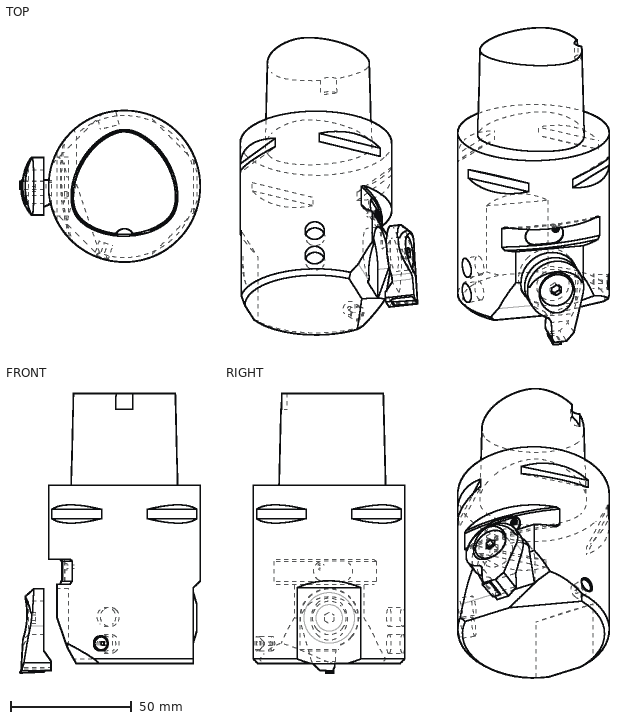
import cadquery as cq
import math


BODY_DIAMETER = 63
BODY_RADIUS = BODY_DIAMETER / 2
BODY_LENGTH = 74.1
BOTTOM_CHAMFER = 2
SHANK_LENGTH = 38
SHANK_BASE_DIAMETER = 44.3
SHANK_TAPER = 1 / 20
SHANK_ECCENTRICITY = 2.8
SHANK_CURVE_POINTS = 48
CLEARANCE = 60

NOTCH_DIAMETER = 8
NOTCH_DEPTH = 6.5
NOTCH_CENTER_Y = -21.6

GRIPPER_Z = -12
GRIPPER_FLOOR_HEIGHT = 3.75
GRIPPER_FLOOR_DISTANCE = 27.9
GRIPPER_MOUTH_HEIGHT = 7.6
GRIPPER_COUNT = 4
GRIPPER_START_AZIMUTH = 45

GROOVE_TOP_Z = -30.8
GROOVE_BOTTOM_Z = -41.1
GROOVE_CENTER_Y = 4
GROOVE_FLOOR_X = -26.15
GROOVE_FLOOR_RADIUS = 82
GROOVE_LIP_DEPTH = 0.6
GROOVE_TOP_LIP = 0.7
GROOVE_BOTTOM_LIP = 1.3
OVAL_WIDTH = 8.5
OVAL_LENGTH = 16.2
OVAL_Y = 1.6
OVAL_Z = -35.6
OVAL_FLOOR_X = -25
JET_Y = -3.4
JET_Z = -33.8
JET_MOUTH_DIAMETER = 2.8
JET_DIAMETER = 1.5
JET_MOUTH_DEPTH = 1
JET_DEPTH = 4

HEAD_Z = -55
FACET_X = -28
FACET_TILT = 19
LOWER_FACET_Z = -67.4
LOWER_FACET_TILT = 29
CORNER_APEX = (-24.7, -19.5, -65.3)
CORNER_BOTTOM_START = (-10.4, -27.6, -BODY_LENGTH)
CORNER_BOTTOM_END = (-20.1, 1.5, -BODY_LENGTH)
SEAT_FLOOR_X = -23.3
SEAT_RADIUS = 12.2
SEAT_RELIEF_Y = 3.9

REAR_FLAT_X = 28.6
REAR_FLAT_TOP_Z = -42.6
REAR_BOSS_HEIGHT = 1.5
REAR_BOSS_RADIUS = 10.5
REAR_BOSS_FACE_RADIUS = 5.5

SIDE_HOLE_DIAMETER = 8
SIDE_HOLE_DEPTH = 6
SIDE_HOLE_AZIMUTH = 104
SIDE_HOLE_HEIGHTS = (-54.6, -65.8)

NOZZLE_DIAMETER = 6
NOZZLE_MOUTH_DIAMETER = 6.25
NOZZLE_CUP_DIAMETER = 5.4
NOZZLE_BORE_DIAMETER = 1.5
NOZZLE_AZIMUTH = 251.7
NOZZLE_Z = -65.7
NOZZLE_RECESS = 0.7
NOZZLE_LENGTH = 6
NOZZLE_CUP_DEPTH = 2.2

HEAD_RADIUS = 12
HEAD_BACK_X = -33.45
HEAD_RIM_X = -37.55
HEAD_CHAMFER_END_Z = -53
HEAD_FRONT_LIMIT_X = -47
HEAD_CROWN_X = -41.65
HEAD_CROWN_RADIUS = 24.5
HEAD_CROWN_TILT = 3.3
TIP_CORNER_Y = -3.7
FLANK_END_Y = -7.1
FLANK_END_Z = -73.8
NECK_START_Y = 4.9
NECK_MIDDLE = (3.4, -66.9)
NECK_END = (2.75, -68.3)
TIP_SIDE_POINT = (2.4, -75.5)
TIP_START_Y = 1.6
SHANK_TIP_Z = -77
SCREW_FLARE_DEPTH = 4
HOOK_X = -30.4
HOOK_START_Z = -68.7
HOOK_END_Z = -73
EDGE_Y = 2.05
EDGE_BACK_Y = -1.3
EDGE_FRONT_X = -43.45
EDGE_BACK_X = -33.5
EDGE_Z = -78
EDGE_NOSE = 0.3
EDGE_CLEARANCE = 0.4
EDGE_BACK_STEP = 0.8
EDGE_OVERLAP = 1

SCREW_DIAMETER = 13.9
SCREW_FACE_X = -39.9
HEX_FLATS = 4
HEX_DEPTH = 3


def side_plane(x, z, y=0):
    """Plane square to X: its normal is -X, its local x is -Y and its local y is +Z."""
    return cq.Plane(origin=(x, y, z), xDir=(0, -1, 0), normal=(-1, 0, 0))


def radial_plane(azimuth, distance, z):
    """Plane whose outward normal is radial to the tool axis."""
    angle = math.radians(azimuth)
    outward = (math.cos(angle), math.sin(angle), 0)
    along = (-math.sin(angle), math.cos(angle), 0)
    return cq.Plane(origin=(distance * outward[0], distance * outward[1], z), xDir=along, normal=outward)


def half_space(origin, normal):
    """Large block that lies on the outer side of a plane."""
    plane = cq.Plane(origin=origin, normal=normal)
    return cq.Workplane(plane).rect(2 * CLEARANCE, 2 * CLEARANCE).extrude(CLEARANCE)


def tilted_facet(x, z, tilt):
    """Material outside a facet that starts at (x, z) and leans inward below it."""
    angle = math.radians(tilt)
    return half_space((x, 0, z), (-math.cos(angle), 0, -math.sin(angle)))


def corner_facet():
    """Material outside the oblique plane through the three corner points."""
    start = cq.Vector(*CORNER_BOTTOM_START)
    along_bottom = cq.Vector(*CORNER_BOTTOM_END) - start
    up_to_apex = cq.Vector(*CORNER_APEX) - start
    return half_space(CORNER_BOTTOM_START, up_to_apex.cross(along_bottom).toTuple())


def shank_outline(diameter, z):
    """Closed rounded three-lobed polygon curve with one lobe toward +Y."""
    radius = diameter / 2
    e = SHANK_ECCENTRICITY
    points = []
    for i in range(SHANK_CURVE_POINTS):
        g = 2 * math.pi * i / SHANK_CURVE_POINTS
        across = radius * math.sin(g) + e * math.sin(2 * g) + e / 2 * math.sin(4 * g)
        along = radius * math.cos(g) - e * math.cos(2 * g) + e / 2 * math.cos(4 * g)
        points.append(cq.Vector(across, -along, z))
    return cq.Wire.assembleEdges([cq.Edge.makeSpline(points, periodic=True)])


def make_shank():
    top_diameter = SHANK_BASE_DIAMETER - SHANK_LENGTH * SHANK_TAPER
    base = shank_outline(SHANK_BASE_DIAMETER, 0)
    top = shank_outline(top_diameter, SHANK_LENGTH)
    shank = cq.Workplane(cq.Solid.makeLoft([base, top], True))
    notch = (
        cq.Workplane(origin=(0, NOTCH_CENTER_Y, SHANK_LENGTH - NOTCH_DEPTH))
        .circle(NOTCH_DIAMETER / 2)
        .extrude(NOTCH_DEPTH)
    )
    return shank.cut(notch)


def make_gripper_groove(azimuth):
    depth = BODY_RADIUS - GRIPPER_FLOOR_DISTANCE
    return (
        cq.Workplane(radial_plane(azimuth, GRIPPER_FLOOR_DISTANCE, GRIPPER_Z))
        .rect(BODY_DIAMETER, GRIPPER_FLOOR_HEIGHT)
        .workplane(offset=depth)
        .rect(BODY_DIAMETER, GRIPPER_MOUTH_HEIGHT)
        .loft(ruled=True)
    )


def make_cross_groove():
    """Groove with a gently curved floor that runs out at both ends, and a sloping lip along each side."""
    lip_radius = GROOVE_FLOOR_RADIUS + GROOVE_LIP_DEPTH
    outer_radius = GROOVE_FLOOR_RADIUS + BODY_RADIUS
    center_x = GROOVE_FLOOR_X + GROOVE_FLOOR_RADIUS
    return (
        cq.Workplane("XZ")
        .moveTo(outer_radius, GROOVE_TOP_Z)
        .lineTo(lip_radius, GROOVE_TOP_Z)
        .lineTo(GROOVE_FLOOR_RADIUS, GROOVE_TOP_Z - GROOVE_TOP_LIP)
        .lineTo(GROOVE_FLOOR_RADIUS, GROOVE_BOTTOM_Z + GROOVE_BOTTOM_LIP)
        .lineTo(lip_radius, GROOVE_BOTTOM_Z)
        .lineTo(outer_radius, GROOVE_BOTTOM_Z)
        .close()
        .revolve(360, (0, 0, 0), (0, 1, 0))
        .translate((center_x, GROOVE_CENTER_Y, 0))
    )


def make_oval_pocket():
    return (
        cq.Workplane(side_plane(OVAL_FLOOR_X, OVAL_Z, OVAL_Y))
        .slot2D(OVAL_LENGTH, OVAL_WIDTH)
        .extrude(BODY_RADIUS + OVAL_FLOOR_X)
    )


def make_jet_hole():
    face = cq.Workplane(side_plane(OVAL_FLOOR_X, JET_Z, JET_Y))
    mouth = face.circle(JET_MOUTH_DIAMETER / 2).extrude(-JET_MOUTH_DEPTH)
    bore = face.circle(JET_DIAMETER / 2).extrude(-JET_DEPTH)
    return mouth.union(bore)


def make_seat():
    """Round recess with a straight relief that runs out through the bottom."""
    depth = BODY_RADIUS + SEAT_FLOOR_X
    floor = cq.Workplane(side_plane(SEAT_FLOOR_X, HEAD_Z))
    recess = floor.circle(SEAT_RADIUS).extrude(depth)
    relief = (
        floor.moveTo(-SEAT_RELIEF_Y, 0)
        .lineTo(SEAT_RADIUS, 0)
        .lineTo(SEAT_RADIUS, -CLEARANCE / 2)
        .lineTo(-SEAT_RELIEF_Y, -CLEARANCE / 2)
        .close()
        .extrude(depth)
    )
    return recess.union(relief)


def make_rear_flat():
    depth = BODY_RADIUS - REAR_FLAT_X
    return (
        cq.Workplane("XZ")
        .moveTo(REAR_FLAT_X, REAR_FLAT_TOP_Z)
        .lineTo(BODY_RADIUS, REAR_FLAT_TOP_Z + depth)
        .lineTo(CLEARANCE, REAR_FLAT_TOP_Z + depth)
        .lineTo(CLEARANCE, -BODY_LENGTH)
        .lineTo(REAR_FLAT_X, -BODY_LENGTH)
        .close()
        .extrude(CLEARANCE, both=True)
    )


def make_rear_boss():
    return (
        cq.Workplane("YZ", origin=(REAR_FLAT_X, 0, HEAD_Z))
        .circle(REAR_BOSS_RADIUS)
        .workplane(offset=REAR_BOSS_HEIGHT)
        .circle(REAR_BOSS_FACE_RADIUS)
        .loft()
    )


def make_side_hole(z):
    plane = radial_plane(SIDE_HOLE_AZIMUTH, BODY_RADIUS - SIDE_HOLE_DEPTH, z)
    return cq.Workplane(plane).circle(SIDE_HOLE_DIAMETER / 2).extrude(2 * SIDE_HOLE_DEPTH)


def nozzle_face():
    return cq.Workplane(radial_plane(NOZZLE_AZIMUTH, BODY_RADIUS - NOZZLE_RECESS, NOZZLE_Z))


def make_nozzle_pocket():
    seat = nozzle_face().circle(NOZZLE_DIAMETER / 2).extrude(-NOZZLE_LENGTH)
    mouth = nozzle_face().circle(NOZZLE_MOUTH_DIAMETER / 2).extrude(2 * NOZZLE_RECESS)
    return seat.union(mouth)


def make_housing():
    body = (
        cq.Workplane()
        .circle(BODY_RADIUS)
        .extrude(-BODY_LENGTH)
        .faces("<Z")
        .chamfer(BOTTOM_CHAMFER)
    )
    for i in range(GRIPPER_COUNT):
        body = body.cut(make_gripper_groove(GRIPPER_START_AZIMUTH + i * 360 / GRIPPER_COUNT))

    facet = half_space((FACET_X, 0, 0), (-1, 0, 0))
    below_groove = cq.Workplane(origin=(0, 0, GROOVE_BOTTOM_Z - CLEARANCE)).box(
        2 * CLEARANCE, 2 * CLEARANCE, 2 * CLEARANCE
    )
    lower_facet_x = FACET_X + (HEAD_Z - LOWER_FACET_Z) * math.tan(math.radians(FACET_TILT))
    body = body.cut(facet.intersect(below_groove))
    body = body.cut(tilted_facet(FACET_X, HEAD_Z, FACET_TILT).intersect(below_groove))
    body = body.cut(tilted_facet(lower_facet_x, LOWER_FACET_Z, LOWER_FACET_TILT).intersect(below_groove))
    body = body.cut(corner_facet().intersect(below_groove))
    body = body.cut(make_seat())

    body = body.cut(make_cross_groove()).cut(make_oval_pocket()).cut(make_jet_hole())
    body = body.cut(make_rear_flat()).union(make_rear_boss())
    for z in SIDE_HOLE_HEIGHTS:
        body = body.cut(make_side_hole(z))
    body = body.cut(make_nozzle_pocket())
    return body.union(make_shank())


def make_nozzle():
    """Short round plug with a conical cup that narrows to the bore."""
    plug = nozzle_face().circle(NOZZLE_DIAMETER / 2).extrude(-NOZZLE_LENGTH)
    cup = (
        nozzle_face()
        .circle(NOZZLE_CUP_DIAMETER / 2)
        .workplane(offset=-NOZZLE_CUP_DEPTH)
        .circle(NOZZLE_BORE_DIAMETER / 2)
        .loft()
    )
    bore = nozzle_face().circle(NOZZLE_BORE_DIAMETER / 2).extrude(-NOZZLE_LENGTH)
    return plug.cut(cup).cut(bore)


def make_head_blank():
    """Round head with a tapering tool shank below it, extruded along X from the hook to past the crown."""
    plane = cq.Plane(origin=(HOOK_X, 0, 0), xDir=(0, 1, 0), normal=(1, 0, 0))
    depth = EDGE_FRONT_X - HOOK_X
    flank_drop = FLANK_END_Z - HEAD_Z
    flank_angle = math.atan2(flank_drop, FLANK_END_Y)
    tangent_angle = flank_angle - math.acos(HEAD_RADIUS / math.hypot(FLANK_END_Y, flank_drop))
    neck_start_z = HEAD_Z - math.sqrt(HEAD_RADIUS**2 - NECK_START_Y**2)
    disc = cq.Workplane(plane).center(0, HEAD_Z).circle(HEAD_RADIUS).extrude(depth)
    tool_shank = (
        cq.Workplane(plane)
        .moveTo(HEAD_RADIUS * math.cos(tangent_angle), HEAD_Z + HEAD_RADIUS * math.sin(tangent_angle))
        .lineTo(FLANK_END_Y, FLANK_END_Z)
        .lineTo(TIP_CORNER_Y, SHANK_TIP_Z)
        .lineTo(TIP_START_Y, SHANK_TIP_Z)
        .lineTo(*TIP_SIDE_POINT)
        .lineTo(*NECK_END)
        .threePointArc(NECK_MIDDLE, (NECK_START_Y, neck_start_z))
        .lineTo(0, HEAD_Z)
        .close()
        .extrude(depth)
    )
    return disc.union(tool_shank)


def make_crown():
    """Large tilted cylinder whose -X side is the domed front of the head."""
    angle = math.radians(HEAD_CROWN_TILT)
    axis = cq.Vector(-math.sin(angle), 0, -math.cos(angle))
    start = cq.Vector(HEAD_CROWN_X + HEAD_CROWN_RADIUS / math.cos(angle), 0, HEAD_Z) - axis * CLEARANCE
    return cq.Workplane(cq.Solid.makeCylinder(HEAD_CROWN_RADIUS, 2 * CLEARANCE, start, axis))


def make_hook_relief():
    """Space behind the head, which leaves only the hook at the bottom."""
    return (
        cq.Workplane("XZ")
        .moveTo(HEAD_BACK_X, 0)
        .lineTo(HEAD_BACK_X, HOOK_START_Z)
        .lineTo(HOOK_X, HOOK_END_Z)
        .lineTo(0, HOOK_END_Z)
        .lineTo(0, 0)
        .close()
        .extrude(CLEARANCE, both=True)
    )


def make_rim_chamfer():
    """Ring outside a 45 degree cone on the upper half of the head rim, tilted like the crown."""
    slope = HEAD_RIM_X - HEAD_FRONT_LIMIT_X
    rim = cq.Workplane(side_plane(HEAD_RIM_X, HEAD_Z))
    cone = rim.circle(HEAD_RADIUS).workplane(offset=slope).circle(HEAD_RADIUS - slope).loft()
    block = (
        cq.Workplane(side_plane(HEAD_RIM_X, HEAD_CHAMFER_END_Z))
        .center(0, HEAD_RADIUS)
        .rect(4 * HEAD_RADIUS, 2 * HEAD_RADIUS)
        .extrude(slope)
    )
    top = HEAD_Z + HEAD_RADIUS
    return block.cut(cone).rotate((HEAD_RIM_X, 0, top), (HEAD_RIM_X, 1, top), HEAD_CROWN_TILT)


def make_screw_space():
    """Bore for the screw with a 45 degree flare in front of the screw face."""
    face = cq.Workplane(side_plane(SCREW_FACE_X, HEAD_Z))
    bore = face.circle(SCREW_DIAMETER / 2).extrude(SCREW_FACE_X - HEAD_BACK_X)
    cone = (
        face.circle(SCREW_DIAMETER / 2)
        .workplane(offset=SCREW_FLARE_DEPTH)
        .circle(SCREW_DIAMETER / 2 + SCREW_FLARE_DEPTH)
        .loft()
    )
    return bore.union(cone)


def make_cutting_edge():
    """Narrow wedge under the tool shank that carries the cutting edge."""
    return (
        cq.Workplane("XZ", origin=(0, EDGE_Y, 0))
        .moveTo(EDGE_FRONT_X, EDGE_Z + EDGE_NOSE)
        .lineTo(EDGE_FRONT_X + EDGE_NOSE, EDGE_Z)
        .lineTo(EDGE_BACK_X, EDGE_Z + EDGE_CLEARANCE)
        .lineTo(EDGE_BACK_X + EDGE_BACK_STEP, SHANK_TIP_Z)
        .lineTo(EDGE_BACK_X, SHANK_TIP_Z + EDGE_OVERLAP)
        .lineTo(HEAD_CROWN_X, SHANK_TIP_Z + EDGE_OVERLAP)
        .close()
        .extrude(EDGE_Y - EDGE_BACK_Y)
    )


def make_cutting_head():
    head = make_head_blank().cut(make_hook_relief()).intersect(make_crown())
    head = head.cut(make_rim_chamfer()).cut(make_screw_space())
    return head.union(make_cutting_edge())


def make_head_screw():
    face = cq.Workplane(side_plane(SCREW_FACE_X, HEAD_Z))
    screw = face.circle(SCREW_DIAMETER / 2).extrude(SCREW_FACE_X - HEAD_BACK_X)
    hex_corners = HEX_FLATS / math.cos(math.pi / 6)
    socket = face.transformed(rotate=(0, 0, 90)).polygon(6, hex_corners).extrude(-HEX_DEPTH)
    return screw.cut(socket)


housing = make_housing()
nozzle = make_nozzle()
cutting_head = make_cutting_head()
head_screw = make_head_screw()

result = cq.Compound.makeCompound([housing.val(), nozzle.val(), cutting_head.val(), head_screw.val()])